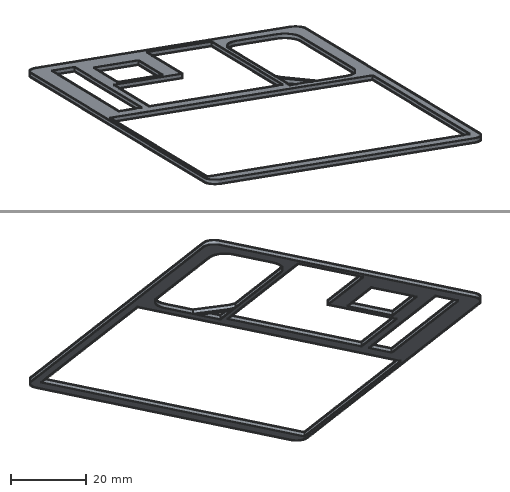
import cadquery as cq

plate_length = 107.06
plate_width = 82.59
thickness = 1.27
plate_corner_radius = 3.175

thin_wall = 1.5875
left_margin = 4.1

window_left = 46.95
window_right = plate_length - 3.8
window_bottom = 1.1
window_top = plate_width - 2.65

column_right = 42.95
slot_bottom = 5.85
slot_top = 12.6

square_left = 6.9
square_right = 20.8
square_bottom = 16.95
square_top = 30.4

ell_left = 1.7
ell_step_x = square_right + thin_wall
ell_step_y = 35.55
ell_bottom = 14.95
ell_top = 55.0

rounded_left = left_margin
rounded_right = 44.15
rounded_bottom = ell_top + thin_wall
rounded_top = plate_width - 4.6
rounded_radius = 4.7625

brace_outer_leg = 8.2
brace_inner_leg = brace_outer_leg - thin_wall
toe_length = 0.6
toe_height = 0.95


def rectangular_prism(left, right, bottom, top):
    """Rectangular prism through the plate thickness."""
    prism = cq.Workplane("XY").box(right - left, top - bottom, thickness, centered=False)
    return prism.translate((left, bottom, 0))


def ell_cutter():
    outline = [
        (ell_left, ell_top),
        (column_right, ell_top),
        (column_right, ell_bottom),
        (ell_step_x, ell_bottom),
        (ell_step_x, ell_step_y),
        (ell_left, ell_step_y),
    ]
    return cq.Workplane("XY").polyline(outline).close().extrude(thickness)


def rounded_cutter():
    opening = rectangular_prism(rounded_left, rounded_right, rounded_bottom, rounded_top)
    opening = opening.edges("|Z and <X").fillet(rounded_radius)
    return opening.edges("|Z and >X and >Y").fillet(rounded_radius)


def make_frame():
    plate = rectangular_prism(0, plate_length, 0, plate_width)
    plate = plate.edges("|Z").fillet(plate_corner_radius)
    cutters = [
        rectangular_prism(window_left, window_right, window_bottom, window_top),
        rectangular_prism(left_margin, column_right, slot_bottom, slot_top),
        rectangular_prism(square_left, square_right, square_bottom, square_top),
        ell_cutter(),
        rounded_cutter(),
    ]
    for cutter in cutters:
        plate = plate.cut(cutter)
    return plate


def make_brace():
    """Flat diagonal strip with a small toe where it lands on the lower wall."""
    outline = [
        (rounded_right, rounded_bottom + brace_inner_leg),
        (rounded_right, rounded_bottom + brace_outer_leg),
        (rounded_right - brace_outer_leg + toe_height, rounded_bottom + toe_height),
        (rounded_right - brace_outer_leg - toe_length, rounded_bottom),
        (rounded_right - brace_inner_leg, rounded_bottom),
    ]
    return cq.Workplane("XY").polyline(outline).close().extrude(thickness)


centring = (-plate_length / 2, -plate_width / 2, -thickness / 2)
frame = make_frame().translate(centring)
brace = make_brace().translate(centring)

result = cq.Compound.makeCompound([frame.val(), brace.val()])